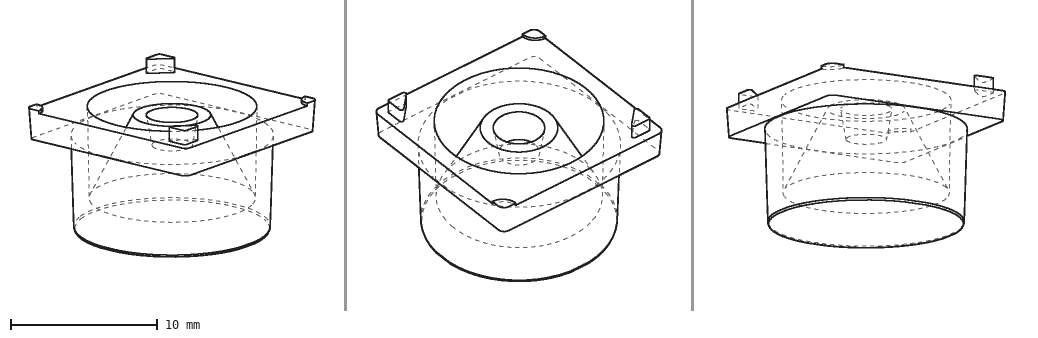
import cadquery as cq
import math

width = 14.12
height = 9.69

flange_thickness = 2.0
flange_draft = 3.0
corner_radius = 0.5

pad_height = 0.2
pad_radius = 1.13
peg_height = 1.0
peg_leg = 1.71
peg_corner = 6.37
peg_fillet = 0.17

cup_top_radius = 6.89
cup_bottom_radius = 6.69
cup_flat_cut = 0.05
cup_edge_height = 0.15
cup_edge_inset = 0.05

cavity_top_radius = 5.78
cavity_floor_radius = 5.66
cavity_depth = 6.5
cone_top_radius = 2.64
cone_recess = 0.61
hole_top_radius = 1.75
hole_floor_radius = 1.38
hole_depth = 2.12

flange_top = height - peg_height
flange_bottom = flange_top - flange_thickness
pad_top = flange_top + pad_height
cavity_floor = flange_top - cavity_depth
cone_top = flange_top - cone_recess


def revolve_profile(points):
    """Turn a closed (radius, z) outline about the Z axis."""
    return cq.Workplane("XZ").polyline(points).close().revolve(360, (0, 0), (0, 1))


def make_flange_block():
    """Drafted square block reaching up to the pad tops."""
    return (
        cq.Workplane("XY", origin=(0, 0, pad_top))
        .rect(width, width)
        .extrude(flange_bottom - pad_top, taper=flange_draft)
        .edges("not(#Z)").fillet(corner_radius)
    )


def make_flange():
    """Flange with pads left standing on two opposite corners."""
    block = make_flange_block()
    waste = cq.Workplane("XY", origin=(0, 0, flange_top)).rect(2 * width, 2 * width).extrude(pad_height)
    for side in (-1, 1):
        corner = (side * width / 2, side * width / 2, flange_top)
        waste = waste.cut(cq.Workplane("XY", origin=corner).circle(pad_radius).extrude(pad_height))
    return block.cut(waste)


def make_cup_band(bottom, top, bottom_radius, top_radius):
    """One conical band of the cup, its four flats sloping with the cone."""
    cone = revolve_profile([(0, bottom), (bottom_radius, bottom), (top_radius, top), (0, top)])
    slope = math.degrees(math.atan((top_radius - bottom_radius) / (top - bottom)))
    flat_distance = top_radius - cup_flat_cut
    trim = (
        cq.Workplane("XY", origin=(0, 0, top))
        .rect(2 * flat_distance, 2 * flat_distance)
        .extrude(bottom - top, taper=slope)
    )
    return cone.intersect(trim)


def make_cup():
    """Tapered cup with a small chamfered edge at the bottom."""
    edge = make_cup_band(0, cup_edge_height, cup_bottom_radius - cup_edge_inset, cup_bottom_radius)
    wall = make_cup_band(cup_edge_height, flange_bottom, cup_bottom_radius, cup_top_radius)
    return wall.union(edge)


def make_cavity():
    """Space between the cavity wall and the cone, including the hole in the cone."""
    return revolve_profile([
        (0, flange_top),
        (cavity_top_radius, flange_top),
        (cavity_floor_radius, cavity_floor),
        (cone_top_radius, cone_top),
        (hole_top_radius, cone_top),
        (hole_floor_radius, cone_top - hole_depth),
        (0, cone_top - hole_depth),
    ])


def make_peg():
    """Right-triangle peg near the -X +Y corner."""
    inner = peg_corner - peg_leg
    return (
        cq.Workplane("XY", origin=(0, 0, flange_top))
        .polyline([(-peg_corner, peg_corner), (-peg_corner, inner), (-inner, peg_corner)])
        .close().extrude(peg_height)
        .edges("|Z").fillet(peg_fillet)
    )


result = make_cup().union(make_flange()).cut(make_cavity())
for turn in (0, 180):
    result = result.union(make_peg().rotate((0, 0, 0), (0, 0, 1), turn))